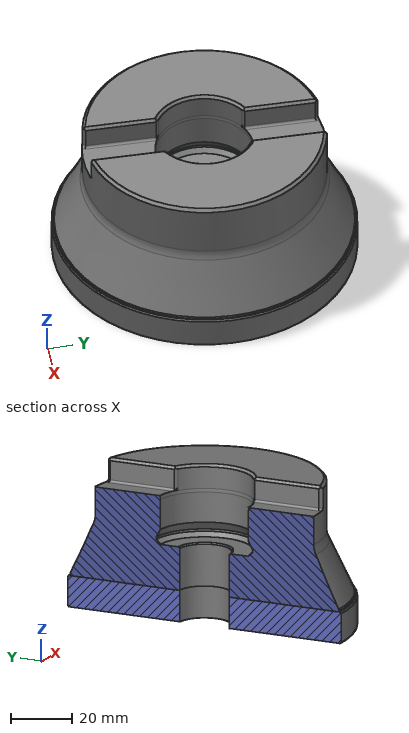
import cadquery as cq
import math

ring_diameter = 99.9
ring_height = 10.8
ring_chamfer = 0.5

total_height = 50.0
hub_diameter = 79.9
hub_chamfer = 1.0
skirt_diameter = 98.1
skirt_band_top = 11.6
neck_top = 32.5
neck_bottom = 29.2
neck_bottom_diameter = 81.4

bore_diameter = 32.0
relief_diameter = 32.2
bore_chamfer = 0.9
bore_floor_depth = 24.6
groove_depth = 1.5
groove_flare_height = 2.7
groove_wall_height = 0.8
relief_taper_height = 1.2
hole_diameter = 18.0
hole_chamfer = 0.5

slot_width = 14.7
slot_depth = 8.1
slot_edge_chamfer = 0.9
slot_floor_fillet = 0.8
outer_flare_start = 38.1
inner_flare_start = 14.7

hub_radius = hub_diameter / 2
bore_radius = bore_diameter / 2
relief_radius = relief_diameter / 2
hole_radius = hole_diameter / 2
slot_floor = total_height - slot_depth
groove_radius = bore_radius + groove_depth
bore_floor = total_height - bore_floor_depth
groove_wall_bottom = bore_floor + groove_depth
groove_wall_top = groove_wall_bottom + groove_wall_height


def make_ring():
    """Flat base ring with chamfered rims and a through hole."""
    ring = cq.Workplane("XY").circle(ring_diameter / 2).extrude(ring_height)
    ring = ring.faces("<Z or >Z").edges().chamfer(ring_chamfer)
    hole = cq.Workplane("XY").circle(hole_radius).extrude(ring_height)
    return ring.cut(hole)


def make_hub_blank():
    """Solid of revolution: skirt, cone, neck fillet and chamfered cylinder."""
    neck_radius = neck_bottom_diameter / 2
    return (
        cq.Workplane("XZ")
        .moveTo(0, ring_height)
        .lineTo(skirt_diameter / 2, ring_height)
        .lineTo(skirt_diameter / 2, skirt_band_top)
        .lineTo(neck_radius, neck_bottom)
        .tangentArcPoint((hub_radius, neck_top), relative=False)
        .lineTo(hub_radius, total_height - hub_chamfer)
        .lineTo(hub_radius - hub_chamfer, total_height)
        .lineTo(0, total_height)
        .close()
        .revolve(360, (0, 0, 0), (0, 1, 0))
    )


def make_bore():
    """Stepped bore: chamfered mouth, relief, locating bore, groove and through hole."""
    profile = [
        (0, ring_height),
        (hole_radius, ring_height),
        (hole_radius, bore_floor - hole_chamfer),
        (hole_radius + hole_chamfer, bore_floor),
        (bore_radius, bore_floor),
        (groove_radius, groove_wall_bottom),
        (groove_radius, groove_wall_top),
        (bore_radius, groove_wall_top + groove_flare_height),
        (bore_radius, slot_floor - relief_taper_height),
        (relief_radius, slot_floor),
        (relief_radius, total_height - bore_chamfer),
        (relief_radius + bore_chamfer, total_height),
        (0, total_height),
    ]
    return cq.Workplane("XZ").polyline(profile).close().revolve(360, (0, 0, 0), (0, 1, 0))


def slot_prism(plan):
    """Prism over a plan outline, from the slot floor up, with rounded floor edges."""
    prism = cq.Workplane("XY").workplane(offset=slot_floor).polyline(plan).close().extrude(slot_depth)
    return prism.faces("<Z").edges("not |X").fillet(slot_floor_fillet)


def flare_plan(narrow_y, wide_y):
    """Trapezoid as wide as the slot at narrow_y, opening at 45 degrees to wide_y."""
    narrow = slot_width / 2
    wide = narrow + abs(wide_y - narrow_y)
    return [(-narrow, narrow_y), (narrow, narrow_y), (wide, wide_y), (-wide, wide_y)]


def make_slot():
    """Slot with chamfered top edges and flared ends at the rim and at the bore."""
    half_width = slot_width / 2
    slot = slot_prism([
        (-half_width, -hub_radius),
        (half_width, -hub_radius),
        (half_width, hub_radius),
        (-half_width, hub_radius),
    ])
    wide = half_width + slot_edge_chamfer
    edge_chamfers = (
        cq.Workplane("XZ")
        .polyline([
            (-half_width, total_height - slot_edge_chamfer),
            (half_width, total_height - slot_edge_chamfer),
            (wide, total_height),
            (-wide, total_height),
        ])
        .close()
        .extrude(hub_radius, both=True)
    )
    slot = slot.union(edge_chamfers)
    inner_end = math.sqrt(bore_radius**2 - wide**2)
    for side in (1, -1):
        slot = slot.union(slot_prism(flare_plan(side * outer_flare_start, side * hub_radius)))
        slot = slot.union(slot_prism(flare_plan(side * inner_flare_start, side * inner_end)))
    return slot


ring = make_ring()
hub = make_hub_blank().cut(make_bore()).cut(make_slot())

result = cq.Compound.makeCompound([ring.val(), hub.val()])